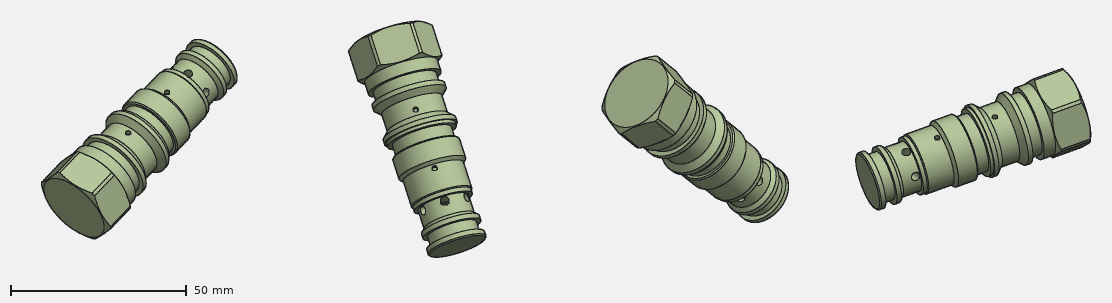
import cadquery as cq
import math

LENGTH = 64.8

ACROSS_FLATS = 22.2
CORNER_DIAMETER = 25.1
HEAD_HEIGHT = 11.0
HEAD_CHAMFER_ANGLE = 30.0

FLANGE_DIAMETER = 21.8
HEAD_GROOVE_DIAMETER = 18.9
BODY_DIAMETER = 18.1
COLLAR_DIAMETER = 20.55
RELIEF_DIAMETER = 17.7
LAND_DIAMETER = 20.0
NOSE_DIAMETER = 17.35
SHOULDER_DIAMETER = 17.4
NECK_DIAMETER = 15.1
NOSE_GROOVE_DIAMETER = 14.65
EDGE_CHAMFER = 0.4

HEAD_GROOVE_START = 14.6
HEAD_GROOVE_END = 18.1
HEAD_FLANGE_END = 19.5
COLLAR_FLANGE_START = 28.65
COLLAR_START = 30.0
COLLAR_END = 31.0
LAND_START = 34.7
LAND_END = 40.9
SHOULDER_START = 50.1
NECK_START = 51.3
NOSE_LAND_START = 58.1
NOSE_GROOVE_START = 59.55
NOSE_GROOVE_END = 63.0

PORT_DIAMETER = 2.5
PORT_Y = 52.75
PORT_COUNT = 6
PILOT_DIAMETER = 1.5
PILOT_DEPTH = 1.95
PILOT_POSITIONS = (25.1, 43.1)


def bevel(large_diameter, small_diameter):
    """Axial length of a 45 degree cone between two diameters."""
    return (large_diameter - small_diameter) / 2


def revolve_sections(sections):
    """Revolve (diameter, Y) points about the Y axis."""
    start, end = sections[0][1], sections[-1][1]
    outline = [(0, start)]
    outline += [(diameter / 2, y) for diameter, y in sections]
    outline.append((0, end))
    return cq.Workplane("XY").polyline(outline).close().revolve(360, (0, 0, 0), (0, 1, 0))


def hex_head():
    """Hexagon with turned corners and a conical chamfer at both ends."""
    across_corners = ACROSS_FLATS / math.cos(math.pi / 6)
    hexagon = cq.Workplane("XZ").polygon(6, across_corners).extrude(-HEAD_HEIGHT)
    chamfer_height = bevel(CORNER_DIAMETER, FLANGE_DIAMETER) * math.tan(math.radians(HEAD_CHAMFER_ANGLE))
    turned_envelope = revolve_sections([
        (FLANGE_DIAMETER, 0),
        (CORNER_DIAMETER, chamfer_height),
        (CORNER_DIAMETER, HEAD_HEIGHT - chamfer_height),
        (FLANGE_DIAMETER, HEAD_HEIGHT),
    ])
    return hexagon.intersect(turned_envelope)


def turned_body():
    """Stepped body from the head to the nose."""
    flange_bevel = bevel(FLANGE_DIAMETER, BODY_DIAMETER)
    return revolve_sections([
        (FLANGE_DIAMETER, HEAD_HEIGHT),
        (FLANGE_DIAMETER, HEAD_GROOVE_START),
        (HEAD_GROOVE_DIAMETER, HEAD_GROOVE_START),
        (HEAD_GROOVE_DIAMETER, HEAD_GROOVE_END),
        (FLANGE_DIAMETER, HEAD_GROOVE_END),
        (FLANGE_DIAMETER, HEAD_FLANGE_END),
        (BODY_DIAMETER, HEAD_FLANGE_END + flange_bevel),
        (BODY_DIAMETER, COLLAR_FLANGE_START - flange_bevel),
        (FLANGE_DIAMETER, COLLAR_FLANGE_START),
        (FLANGE_DIAMETER, COLLAR_START),
        (COLLAR_DIAMETER, COLLAR_START),
        (COLLAR_DIAMETER, COLLAR_END),
        (RELIEF_DIAMETER, COLLAR_END),
        (RELIEF_DIAMETER, LAND_START),
        (LAND_DIAMETER - 2 * EDGE_CHAMFER, LAND_START),
        (LAND_DIAMETER, LAND_START + EDGE_CHAMFER),
        (LAND_DIAMETER, LAND_END),
        (BODY_DIAMETER, LAND_END + bevel(LAND_DIAMETER, BODY_DIAMETER)),
        (BODY_DIAMETER, SHOULDER_START - bevel(BODY_DIAMETER, SHOULDER_DIAMETER)),
        (SHOULDER_DIAMETER, SHOULDER_START),
        (SHOULDER_DIAMETER, NECK_START),
        (NECK_DIAMETER, NECK_START),
        (NECK_DIAMETER, NOSE_LAND_START - bevel(NOSE_DIAMETER, NECK_DIAMETER)),
        (NOSE_DIAMETER, NOSE_LAND_START),
        (NOSE_DIAMETER, NOSE_GROOVE_START),
        (NOSE_GROOVE_DIAMETER, NOSE_GROOVE_START),
        (NOSE_GROOVE_DIAMETER, NOSE_GROOVE_END),
        (NOSE_DIAMETER, NOSE_GROOVE_END),
        (NOSE_DIAMETER, LENGTH - EDGE_CHAMFER),
        (NOSE_DIAMETER - 2 * EDGE_CHAMFER, LENGTH),
    ])


def cross_ports():
    """Through holes across the neck, each opening on opposite sides."""
    drill = cq.Workplane("XY", origin=(0, PORT_Y, 0)).circle(PORT_DIAMETER / 2)
    drill = drill.extrude(NECK_DIAMETER / 2 + 0.65, both=True)
    ports = drill
    for index in range(1, PORT_COUNT // 2):
        ports = ports.union(drill.rotate((0, 0, 0), (0, 1, 0), index * 360 / PORT_COUNT))
    return ports


def pilot_holes():
    """Blind holes drilled down from the top of the body."""
    floor = BODY_DIAMETER / 2 - PILOT_DEPTH
    points = [(0, y) for y in PILOT_POSITIONS]
    plane = cq.Workplane("XY", origin=(0, 0, floor))
    return plane.pushPoints(points).circle(PILOT_DIAMETER / 2).extrude(2 * PILOT_DEPTH)


result = hex_head().union(turned_body()).cut(cross_ports()).cut(pilot_holes())